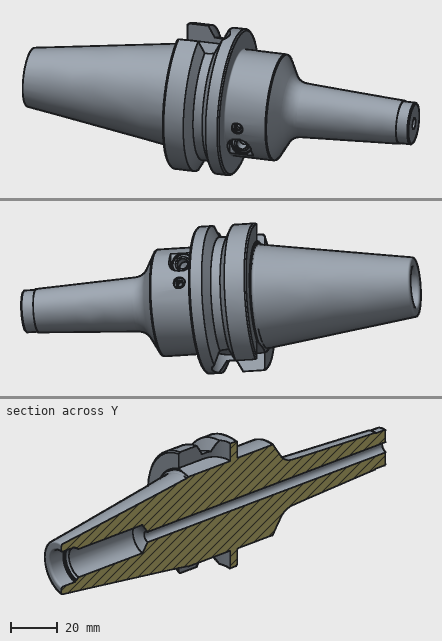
import cadquery as cq
import math

TOTAL_LENGTH = 170.4

TAPER_LENGTH = 65.5
TAPER_END_DIA = 25.4
TAPER_RATIO = 7 / 24
TAPER_END_ROUND = 0.9

FLANGE_START = 67.5
FLANGE_END = 92.5
FLANGE_DIA = 63.0
FLANGE_CHAMFER = 0.7
COLLAR_DIA = 47.5
COLLAR_THICKNESS = 0.5
COLLAR_ROOT_ROUND = 1.0
GROOVE_DIA = 53.0
GROOVE_CENTRE = 81.8
GROOVE_FLOOR_WIDTH = 4.1
GROOVE_SIDE_ANGLE = 60.0

KEY_WIDTH = 16.0
KEY_END = 88.6
KEY_FLOOR_HEIGHT = 22.7

BODY_DIA = 45.8
BODY_END = 110.8
BODY_CHAMFER_LENGTH = 0.5
BODY_CHAMFER_DROP = 0.2
BODY_ROOT_ROUND = 0.5
CONE_ANGLE = 60.0
NOSE_ANGLE = 3.0
NOSE_ROUND = 7.3
NOSE_SHOULDER_X = 165.0
NOSE_SHOULDER_DIA = 18.7
NOSE_TIP_DIA = 18.0
NOSE_TIP_CHAMFER = 0.5

BORE_DIA = 17.4
BORE_MOUTH_ROUND = 1.0
BORE_DEPTH = 7.2
STEP_DIA = 16.0
STEP_START = 7.5
STEP_END = 8.0
THREAD_DIA = 14.0
THREAD_START = 9.0
THREAD_DEPTH = 42.6
DRILL_POINT_ANGLE = 118.0
THROUGH_DIA = 5.0

SIDE_X = 98.3
POCKET_WIDTH = 10.4
POCKET_FLOOR_Y = 15.8
POCKET_DROP = 12.0
SCREW_HEAD_DIA = 9.0
SCREW_RIM_DEPTH = 1.4
SCREW_FACE_DIA = 6.3
SCREW_FACE_DEPTH = 0.3
SCREW_HOLE_DIA = 4.6
SCREW_HOLE_DEPTH = 5.1
PLUG_DIA = 5.0
PLUG_DROP = 1.2
PLUG_DEPTH = 1.7
SOCKET_DIA = 3.0
SOCKET_FLOOR_DIA = 2.4
SOCKET_CONE_END = 2.0
SOCKET_DEPTH = 3.7


def slope(angle):
    return math.tan(math.radians(angle))


def offset_point(centre, radius, angle):
    """Point on a circle, with the angle in degrees from the first axis."""
    turn = math.radians(angle)
    return (centre[0] + radius * math.cos(turn), centre[1] + radius * math.sin(turn))


def nose_round_points():
    """Start, middle and end of the round that joins the back cone to the nose taper."""
    cone_start_r = BODY_DIA / 2 - BODY_CHAMFER_DROP
    cone_start_x = BODY_END + BODY_CHAMFER_LENGTH
    shoulder_r = NOSE_SHOULDER_DIA / 2
    nose_r_at_cone = shoulder_r + (NOSE_SHOULDER_X - cone_start_x) * slope(NOSE_ANGLE)
    corner_run = (cone_start_r - nose_r_at_cone) / (slope(CONE_ANGLE) - slope(NOSE_ANGLE))
    corner = (cone_start_x + corner_run, cone_start_r - corner_run * slope(CONE_ANGLE))

    tangent = NOSE_ROUND * slope((CONE_ANGLE - NOSE_ANGLE) / 2)
    end = offset_point(corner, tangent, -NOSE_ANGLE)
    centre = offset_point(end, NOSE_ROUND, 90 - NOSE_ANGLE)
    start = offset_point(centre, NOSE_ROUND, 270 - CONE_ANGLE)
    middle = offset_point(centre, NOSE_ROUND, 270 - (CONE_ANGLE + NOSE_ANGLE) / 2)
    return start, middle, end


def outer_body():
    taper_big_r = (TAPER_END_DIA + TAPER_LENGTH * TAPER_RATIO) / 2
    collar_start = FLANGE_START - COLLAR_THICKNESS
    flange_r = FLANGE_DIA / 2
    groove_r = GROOVE_DIA / 2
    groove_half = GROOVE_FLOOR_WIDTH / 2
    groove_side = (flange_r - groove_r) / slope(GROOVE_SIDE_ANGLE)
    body_r = BODY_DIA / 2
    taper_end_r = TAPER_END_DIA / 2
    tip_r = NOSE_TIP_DIA / 2
    taper_angle = math.atan(TAPER_RATIO / 2)
    end_round_radius = TAPER_END_ROUND / (1 - math.sin(taper_angle))
    taper_start_r = taper_end_r + TAPER_END_ROUND * TAPER_RATIO / 2
    face_r = taper_start_r - end_round_radius * math.cos(taper_angle)
    round_start, round_middle, round_end = nose_round_points()

    profile = (
        cq.Workplane("XY")
        .lineTo(0, face_r)
        .radiusArc((TAPER_END_ROUND, taper_start_r), end_round_radius)
        .lineTo(TAPER_LENGTH, taper_big_r)
        .lineTo(collar_start - COLLAR_ROOT_ROUND, taper_big_r)
        .radiusArc((collar_start, taper_big_r + COLLAR_ROOT_ROUND), -COLLAR_ROOT_ROUND)
        .lineTo(collar_start, COLLAR_DIA / 2)
        .lineTo(FLANGE_START, COLLAR_DIA / 2)
        .lineTo(FLANGE_START, flange_r - FLANGE_CHAMFER)
        .lineTo(FLANGE_START + FLANGE_CHAMFER, flange_r)
        .lineTo(GROOVE_CENTRE - groove_half - groove_side, flange_r)
        .lineTo(GROOVE_CENTRE - groove_half, groove_r)
        .lineTo(GROOVE_CENTRE + groove_half, groove_r)
        .lineTo(GROOVE_CENTRE + groove_half + groove_side, flange_r)
        .lineTo(FLANGE_END - FLANGE_CHAMFER, flange_r)
        .lineTo(FLANGE_END, flange_r - FLANGE_CHAMFER)
        .lineTo(FLANGE_END, body_r + BODY_ROOT_ROUND)
        .radiusArc((FLANGE_END + BODY_ROOT_ROUND, body_r), -BODY_ROOT_ROUND)
        .lineTo(BODY_END, body_r)
        .lineTo(BODY_END + BODY_CHAMFER_LENGTH, body_r - BODY_CHAMFER_DROP)
        .lineTo(*round_start)
        .threePointArc(round_middle, round_end)
        .lineTo(NOSE_SHOULDER_X, NOSE_SHOULDER_DIA / 2)
        .lineTo(NOSE_SHOULDER_X, tip_r)
        .lineTo(TOTAL_LENGTH - NOSE_TIP_CHAMFER, tip_r)
        .lineTo(TOTAL_LENGTH, tip_r - NOSE_TIP_CHAMFER)
        .lineTo(TOTAL_LENGTH, 0)
        .close()
    )
    return profile.revolve(360, (0, 0, 0), (1, 0, 0))


def bore():
    bore_r = BORE_DIA / 2
    step_r = STEP_DIA / 2
    thread_r = THREAD_DIA / 2
    through_r = THROUGH_DIA / 2
    point_length = (thread_r - through_r) / slope(DRILL_POINT_ANGLE / 2)
    profile = (
        cq.Workplane("XY")
        .lineTo(0, bore_r + BORE_MOUTH_ROUND)
        .radiusArc((BORE_MOUTH_ROUND, bore_r), -BORE_MOUTH_ROUND)
        .lineTo(BORE_DEPTH, bore_r)
        .lineTo(STEP_START, step_r)
        .lineTo(STEP_END, step_r)
        .lineTo(THREAD_START, thread_r)
        .lineTo(THREAD_DEPTH, thread_r)
        .lineTo(THREAD_DEPTH + point_length, through_r)
        .lineTo(TOTAL_LENGTH, through_r)
        .lineTo(TOTAL_LENGTH, 0)
        .close()
    )
    return profile.revolve(360, (0, 0, 0), (1, 0, 0))


def keyway():
    """Round-ended drive slot on the +Z side, open toward the taper."""
    half = KEY_WIDTH / 2
    return (
        cq.Workplane("XY", origin=(0, 0, KEY_FLOOR_HEIGHT))
        .moveTo(TAPER_LENGTH, -half)
        .lineTo(KEY_END - half, -half)
        .threePointArc((KEY_END, 0), (KEY_END - half, half))
        .lineTo(TAPER_LENGTH, half)
        .close()
        .extrude(FLANGE_DIA / 2)
    )


def pocket():
    """Flat-floored recess on the -Y side: round at the top, open at the bottom."""
    half = POCKET_WIDTH / 2
    reach = BODY_DIA / 2
    return (
        cq.Workplane("XZ", origin=(SIDE_X, -POCKET_FLOOR_Y, -POCKET_DROP))
        .moveTo(-half, 0)
        .threePointArc((0, half), (half, 0))
        .lineTo(half, -reach)
        .lineTo(-half, -reach)
        .close()
        .extrude(reach)
    )


def side_hole(drop, mouth_y, steps):
    """Pointed hole along +Y from Y = mouth_y, through (diameter, depth) steps."""
    last_dia, last_depth = steps[-1]
    point_depth = last_depth + last_dia / 2 / slope(DRILL_POINT_ANGLE / 2)
    profile = cq.Workplane("XY", origin=(SIDE_X, mouth_y, -drop))
    for dia, depth in steps:
        profile = profile.lineTo(dia / 2, depth)
    return profile.lineTo(0, point_depth).close().revolve(360, (0, 0, 0), (0, 1, 0))


def screw_hole():
    """Recess round a sunk screw head with a bevelled rim, and the hole in that head."""
    steps = [
        (SCREW_HEAD_DIA, 0),
        (SCREW_HEAD_DIA, SCREW_RIM_DEPTH),
        (SCREW_FACE_DIA, SCREW_FACE_DEPTH),
        (SCREW_HOLE_DIA, SCREW_FACE_DEPTH),
        (SCREW_HOLE_DIA, SCREW_HOLE_DEPTH),
    ]
    return side_hole(POCKET_DROP, -POCKET_FLOOR_Y, steps)


def plug_hole():
    """Small round recess that ends at a plug with a tapered socket."""
    steps = [
        (PLUG_DIA, 0),
        (PLUG_DIA, PLUG_DEPTH),
        (SOCKET_DIA, PLUG_DEPTH),
        (SOCKET_FLOOR_DIA, SOCKET_CONE_END),
        (SOCKET_FLOOR_DIA, SOCKET_DEPTH),
    ]
    return side_hole(PLUG_DROP, -BODY_DIA / 2, steps)


result = outer_body().cut(bore())
for tool in (keyway(), pocket(), screw_hole(), plug_hole()):
    for turn in (0, 180):
        result = result.cut(tool.rotate((0, 0, 0), (1, 0, 0), turn))